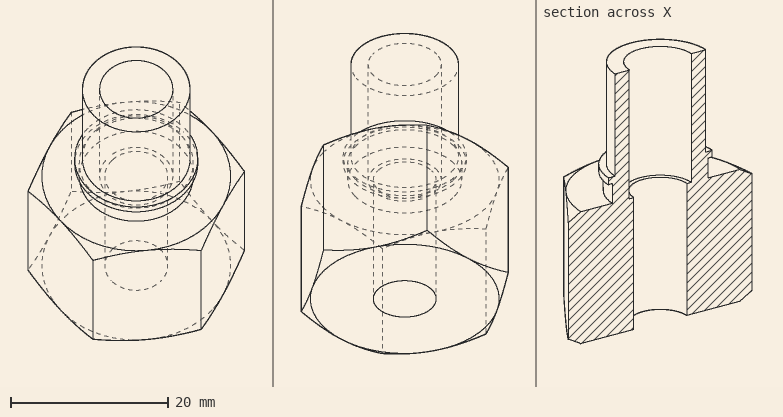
import cadquery as cq
import math

hex_sides = 6
across_flats = 24.0
nut_height = 18.5
corner_chamfer_angle = 30.0

neck_diameter = 14.5
collar_diameter = 15.66
collar_bottom = 21.2
collar_thickness = 1.0
tube_diameter = 13.7
total_height = 36.5

through_bore_diameter = 8.0
tube_bore_diameter = 9.3
tube_bore_bottom = nut_height

half_side_angle = 180.0 / hex_sides
across_corners = across_flats / math.cos(math.radians(half_side_angle))
corner_overhang = (across_corners - across_flats) / 2
corner_drop = corner_overhang * math.tan(math.radians(corner_chamfer_angle))
collar_top = collar_bottom + collar_thickness


def cylinder(diameter, bottom, top):
    """Solid cylinder on the Z axis between two heights."""
    return cq.Workplane("XY").workplane(offset=bottom).circle(diameter / 2).extrude(top - bottom)


def make_nut():
    """Hexagon with flats facing +X and -X, its corners turned off conically at both ends."""
    hexagon = (
        cq.Workplane("XY")
        .polygon(hex_sides, across_corners)
        .extrude(nut_height)
        .rotate((0, 0, 0), (0, 0, 1), half_side_angle)
    )
    turned_blank = (
        cq.Workplane("XZ")
        .moveTo(0, 0)
        .lineTo(across_flats / 2, 0)
        .lineTo(across_corners / 2, corner_drop)
        .lineTo(across_corners / 2, nut_height - corner_drop)
        .lineTo(across_flats / 2, nut_height)
        .lineTo(0, nut_height)
        .close()
        .revolve(360, (0, 0, 0), (0, 1, 0))
    )
    return hexagon.intersect(turned_blank)


def make_stem():
    """Neck, locating collar and tube above the nut."""
    neck = cylinder(neck_diameter, nut_height, collar_bottom)
    collar = cylinder(collar_diameter, collar_bottom, collar_top)
    tube = cylinder(tube_diameter, collar_top, total_height)
    return neck.union(collar).union(tube)


def make_bore():
    """Through bore, widened inside the stem."""
    through_bore = cylinder(through_bore_diameter, 0, total_height)
    tube_bore = cylinder(tube_bore_diameter, tube_bore_bottom, total_height)
    return through_bore.union(tube_bore)


result = make_nut().union(make_stem()).cut(make_bore())